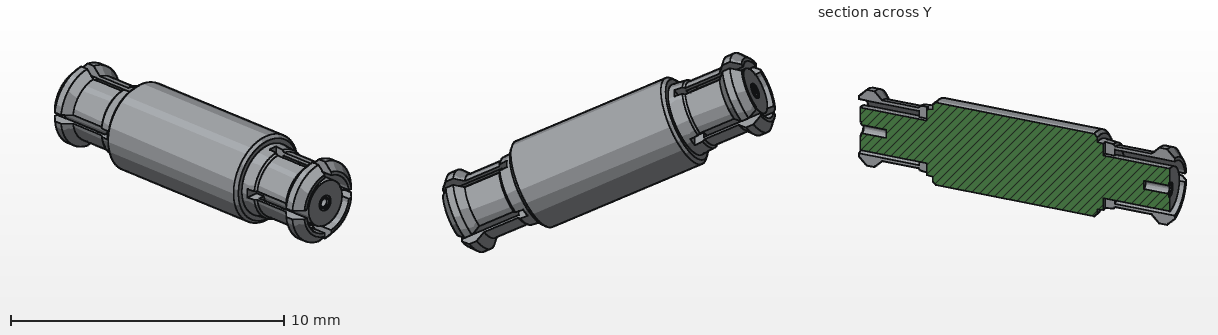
import cadquery as cq

total_length = 12.59
half_length = total_length / 2

barrel_radius = 1.715
barrel_chamfer = 0.125
barrel_half_length = 3.285

head_radius = 1.575
neck_radius = 1.265
head_bevel = head_radius - neck_radius
head_land = 0.31
step_start = 2.37
step_length = 0.08
step_radius = neck_radius + step_length
shoulder_radius = 1.40

finger_bore_radius = 1.13
core_radius = 0.89
core_recess = 0.125
gap_depth = 2.40
slot_width = 0.345
slot_depth = 2.77

contact_radius = 0.29
contact_recess = 0.03
socket_radius = 0.16
socket_mouth_radius = 0.21
socket_depth = 1.0


def make_end_outline():
    """Outer half-profile points from the end face up to the barrel."""
    end_x = -half_length
    land_start = end_x + head_bevel
    land_end = land_start + head_land
    neck_start = land_end + head_bevel
    step_x = end_x + step_start
    return [
        (end_x, neck_radius),
        (land_start, head_radius),
        (land_end, head_radius),
        (neck_start, neck_radius),
        (step_x, neck_radius),
        (step_x + step_length, step_radius),
        (-barrel_half_length, shoulder_radius),
        (-barrel_half_length, barrel_radius - barrel_chamfer),
        (-barrel_half_length + barrel_chamfer, barrel_radius),
    ]


def make_body():
    """Solid of revolution about the X axis, alike at both ends."""
    left = make_end_outline()
    right = [(-x, radius) for x, radius in reversed(left)]
    outline = [(-half_length, 0)] + left + right + [(half_length, 0)]
    return (
        cq.Workplane("XY")
        .polyline(outline)
        .close()
        .revolve(360, (0, 0), (1, 0))
    )


def axial_cylinder(radius, depth):
    """Cylinder running inwards from the -X end face."""
    return cq.Workplane("YZ", origin=(-half_length, 0, 0)).circle(radius).extrude(depth)


def slot_box(size_y, size_z):
    """Box running inwards from the -X end face over the slot depth."""
    slot_middle_x = -half_length + slot_depth / 2
    return cq.Workplane("XY").box(slot_depth, size_y, size_z).translate((slot_middle_x, 0, 0))


def make_finger_cut():
    """Crossed slots, annular gap and recess that leave four fingers around the core."""
    slot_span = 2 * barrel_radius
    upright_slot = slot_box(slot_width, slot_span)
    level_slot = slot_box(slot_span, slot_width)
    gap = axial_cylinder(finger_bore_radius, gap_depth)
    core = axial_cylinder(core_radius, slot_depth)
    recess = axial_cylinder(core_radius, core_recess)
    return gap.union(upright_slot).union(level_slot).cut(core.cut(recess))


def make_socket_cut():
    """Recessed contact face and its socket with a conical mouth."""
    contact_depth = core_recess + contact_recess
    contact_pocket = axial_cylinder(contact_radius, contact_depth)
    socket = axial_cylinder(socket_radius, contact_depth + socket_depth)
    mouth = cq.Workplane(
        cq.Solid.makeCone(
            socket_mouth_radius,
            socket_radius,
            socket_mouth_radius - socket_radius,
            pnt=cq.Vector(contact_depth - half_length, 0, 0),
            dir=cq.Vector(1, 0, 0),
        )
    )
    return contact_pocket.union(socket).union(mouth)


end_cut = make_finger_cut().union(make_socket_cut())
result = make_body().cut(end_cut).cut(end_cut.mirror("YZ"))